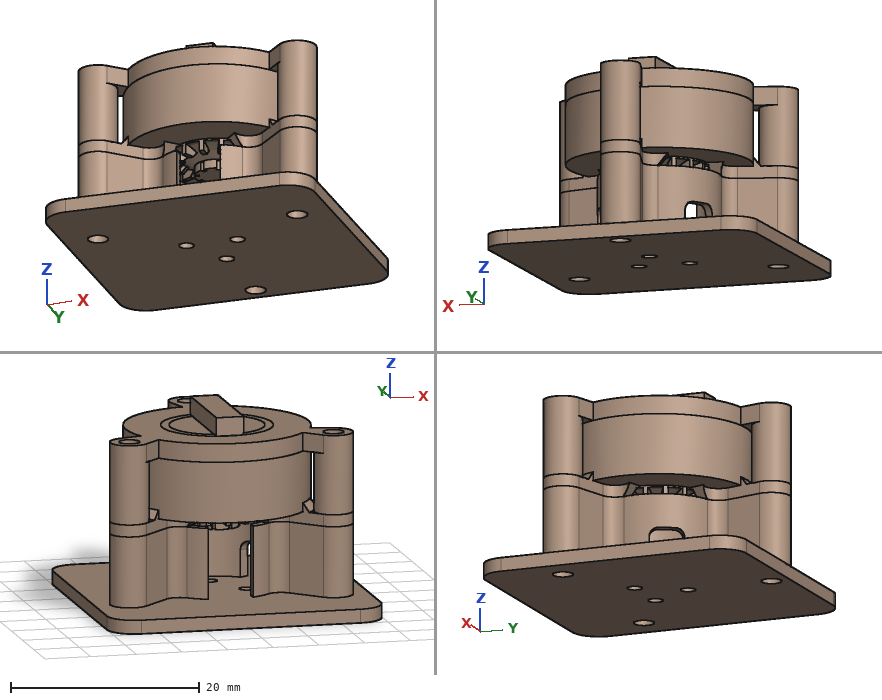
import cadquery as cq
import math

base_top = 1.5
housing_top = 9.2
spider_top = 10.5
drum_top = 17.1
cap_top = 19.1
knob_top = 21.1

base_side = 30.0
base_corner_radius = 3.0
base_hole_diameter = 1.6
base_hole_circle_radius = 3.3
base_hole_angles = [-30, 90, 210]

post_circle_radius = 12.9
post_radius = 2.1
screw_hole_diameter = 2.2
post_angles = [90, 210, 330]
arm_apex_radius = 5.0

housing_radius = 6.6
housing_bore_radius = 5.6
arm_fillet = 1.6
front_opening_angle = -90
front_opening_width = 4.9
window_angles = [30, 150]
window_width = 3.8
window_top = 5.5
window_corner_radius = 1.0

port_angles = [-90, 30, 150]
port_half_angle = 43.0
port_side_slope = 40.0
hub_radius = 5.2
web_radius = 7.5
channel_radius = 5.4
hub_lid = 0.2
fin_count = 15
fin_width = 0.5
fin_tip_radius = 3.4
fin_tip_level = 9.8
fin_foot_radius = 4.0
bowl_top_radius = 4.8
lip_height = 0.95
lip_outer_radius = post_circle_radius - post_radius

spline_radius = 2.4
spline_height = 1.0
spline_groove_count = 8
spline_groove_width = 0.38
spline_groove_depth = 0.5

drum_radius = 10.0
bushing_radius = 6.0
knob_radius = 5.1
grip_width = 3.0
grip_length = 2 * math.sqrt(bushing_radius**2 - (grip_width / 2) ** 2)


def polar(radius, angle):
    """Point at a radius and an angle in degrees."""
    return (radius * math.cos(math.radians(angle)), radius * math.sin(math.radians(angle)))


def disc(radius, bottom, top):
    """Round disc on the Z axis; its seam lies inside the arm at 90 degrees."""
    return cq.Workplane("XY", origin=(0, 0, bottom)).circle(radius).extrude(top - bottom).rotate(
        (0, 0, 0), (0, 0, 1), 90)


def turned(shape, angle):
    """Copy of a shape turned about the Z axis."""
    return shape.rotate((0, 0, 0), (0, 0, 1), angle)


def round_bars(points, diameter, bottom, top):
    """Vertical round bars at the given points."""
    plane = cq.Workplane("XY", origin=(0, 0, bottom))
    return plane.pushPoints(points).circle(diameter / 2).extrude(top - bottom)


post_points = [polar(post_circle_radius, angle) for angle in post_angles]
screw_holes = round_bars(post_points, screw_hole_diameter, 0, cap_top)


def arms(bottom, top):
    """Three tapering arms with round ends; the sides are tangent to the ends."""
    reach = post_circle_radius - arm_apex_radius
    taper = math.asin(post_radius / reach)
    tangent_x = post_circle_radius - post_radius * math.sin(taper)
    tangent_y = post_radius * math.cos(taper)
    arm = (
        cq.Workplane("XY", origin=(0, 0, bottom))
        .moveTo(arm_apex_radius, 0)
        .lineTo(tangent_x, -tangent_y)
        .threePointArc((post_circle_radius + post_radius, 0), (tangent_x, tangent_y))
        .close()
        .extrude(top - bottom)
    )
    group = turned(arm, post_angles[0])
    for angle in post_angles[1:]:
        group = group.union(turned(arm, angle))
    return group


def three_arm_block(bottom, top):
    """Round core with three arms, filleted where they meet."""
    block = disc(housing_radius, bottom, top).union(arms(bottom, top))

    def on_core(edge):
        center = edge.Center()
        return abs(math.hypot(center.x, center.y) - housing_radius) < 0.01

    return block.edges("|Z").filter(on_core).fillet(arm_fillet)


def make_base():
    plate = cq.Workplane("XY").rect(base_side, base_side).extrude(base_top)
    plate = plate.edges("|Z").fillet(base_corner_radius)
    hole_points = [polar(base_hole_circle_radius, angle) for angle in base_hole_angles]
    return plate.cut(screw_holes).cut(round_bars(hole_points, base_hole_diameter, 0, base_top))


def radial_slot(width, top):
    """Slot along +X from the axis out through the housing wall."""
    length = 2 * housing_radius
    height = top - base_top
    return cq.Workplane("XY").box(length, width, height, centered=(False, True, False)).translate(
        (0, 0, base_top))


def make_housing():
    body = three_arm_block(base_top, housing_top)
    body = body.cut(disc(housing_bore_radius, base_top, housing_top)).cut(screw_holes)
    body = body.cut(turned(radial_slot(front_opening_width, housing_top), front_opening_angle))
    window = radial_slot(window_width, window_top).edges("|X and >Z").fillet(window_corner_radius)
    for angle in window_angles:
        body = body.cut(turned(window, angle))
    return body


def spider_webs():
    """Webs beside the ports; the hollow of each arm fillet runs on along their outer side."""
    taper = math.asin(post_radius / (post_circle_radius - arm_apex_radius))
    reach = housing_radius + arm_fillet
    offset = taper + math.asin((arm_fillet - arm_apex_radius * math.sin(taper)) / reach)
    hollow_points = [
        polar(reach, angle + side * math.degrees(offset)) for angle in post_angles for side in (-1, 1)
    ]
    hollows = round_bars(hollow_points, 2 * arm_fillet, housing_top, spider_top)
    return disc(web_radius, housing_top, spider_top).cut(hollows)


def spider_ports():
    """Three ports around the hub; their sides lean inward towards the top."""
    length = 2 * housing_radius
    half_width = length * math.tan(math.radians(port_half_angle))
    wedge = (
        cq.Workplane("XY", origin=(0, 0, housing_top))
        .polyline([(0, 0), (length, -half_width), (length, half_width)])
        .close()
        .extrude(spider_top - housing_top, taper=port_side_slope)
    )
    wedge = wedge.cut(disc(hub_radius, housing_top, spider_top))
    return [turned(wedge, angle) for angle in port_angles]


def hub_channel():
    """Ring channel under the hub lid, around the inner bowl and between the fins."""
    lid_bottom = spider_top - hub_lid
    ring = (
        cq.Workplane("XZ")
        .moveTo(spline_radius, housing_top)
        .lineTo(channel_radius, housing_top)
        .lineTo(channel_radius, lid_bottom)
        .lineTo(bowl_top_radius, lid_bottom)
        .threePointArc((fin_tip_radius, fin_tip_level), (spline_radius, housing_top))
        .close()
        .revolve(360, (0, 0, 0), (0, 1, 0))
    )
    fin_profile = (
        cq.Workplane("XZ", origin=(0, fin_width / 2, 0))
        .polyline([
            (fin_foot_radius, housing_top),
            (hub_radius, housing_top),
            (hub_radius, lid_bottom),
            (fin_tip_radius, lid_bottom),
            (fin_tip_radius, fin_tip_level),
        ])
        .close()
        .extrude(fin_width)
    )
    for index in range(fin_count):
        ring = ring.cut(turned(fin_profile, port_angles[0] + index * 360 / fin_count))
    return ring


def arm_lips():
    """Sloped lips on the arms that hold the drum."""
    lip_top = spider_top + lip_height
    cone = (
        cq.Workplane("XZ")
        .polyline([
            (drum_radius, spider_top),
            (lip_outer_radius, spider_top),
            (drum_radius, lip_top),
        ])
        .close()
        .revolve(360, (0, 0, 0), (0, 1, 0))
    )
    return cone.intersect(arms(spider_top, lip_top))


def make_spider():
    body = three_arm_block(housing_top, spider_top).union(spider_webs())
    body = body.union(arm_lips()).cut(screw_holes).cut(hub_channel())
    for port in spider_ports():
        body = body.cut(port)
    return body


def make_spline():
    bottom = housing_top - spline_height
    stub = disc(spline_radius, bottom, housing_top)
    groove = cq.Workplane("XY").box(
        2 * spline_groove_depth, spline_groove_width, spline_height, centered=(True, True, False)
    ).translate((spline_radius, 0, bottom))
    pitch = 360 / spline_groove_count
    for index in range(spline_groove_count):
        stub = stub.cut(turned(groove, (index + 0.5) * pitch))
    return stub


def make_drum():
    return disc(drum_radius, spider_top, drum_top)


def make_cap():
    body = disc(drum_radius, drum_top, cap_top).union(arms(drum_top, cap_top))
    body = body.union(round_bars(post_points, 2 * post_radius, spider_top, cap_top))
    return body.cut(screw_holes).cut(disc(bushing_radius, drum_top, cap_top))


def make_bushing():
    return disc(bushing_radius, drum_top, cap_top).cut(disc(knob_radius, drum_top, cap_top))


def make_knob():
    grip = cq.Workplane("XY", origin=(0, 0, cap_top)).rect(grip_width, grip_length).extrude(
        knob_top - cap_top)
    return disc(knob_radius, drum_top, cap_top).union(grip)


base = make_base()
housing = make_housing()
spider = make_spider()
spline = make_spline()
drum = make_drum()
cap = make_cap()
bushing = make_bushing()
knob = make_knob()

result = cq.Compound.makeCompound([
    base.val(),
    housing.val(),
    spider.val(),
    spline.val(),
    drum.val(),
    cap.val(),
    bushing.val(),
    knob.val(),
])